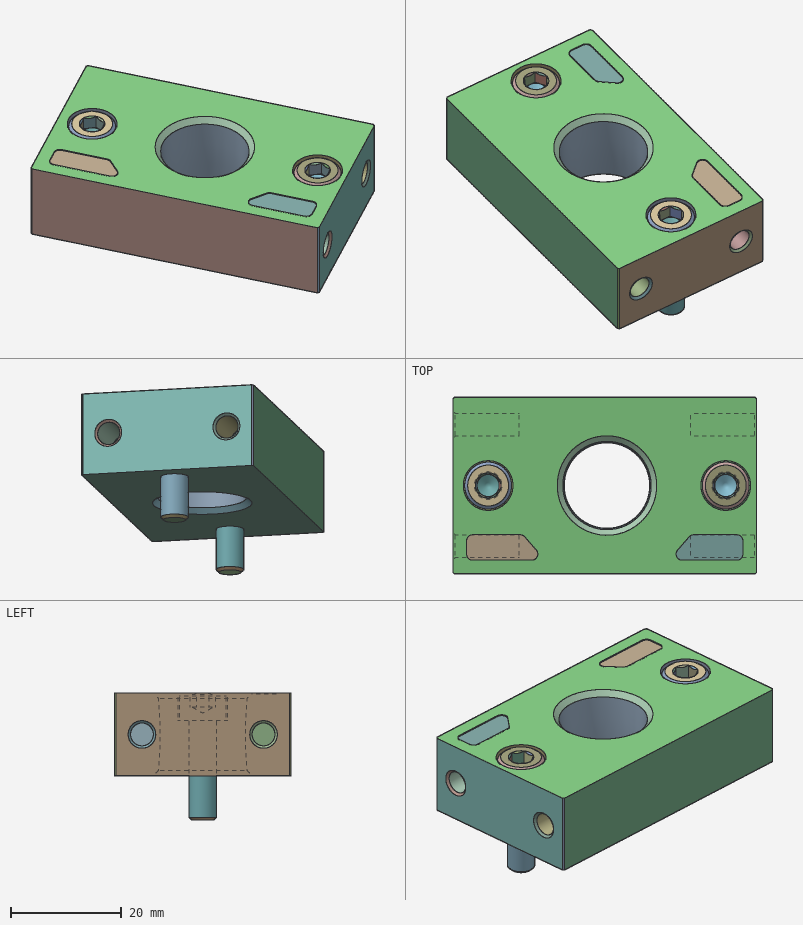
import cadquery as cq
import math

block_length = 55.0
block_width = 32.0
block_height = 15.0
bore_offset = 0.4
corner_chamfer = 0.3
block_middle_x = -bore_offset
block_left_x = block_middle_x - block_length / 2
block_right_x = block_middle_x + block_length / 2

mouth_diameter = 18.0
throat_diameter = 16.0
waist_diameter = 15.4
mouth_depth = (mouth_diameter - throat_diameter) / 2

screw_half_spacing = 21.5
shank_diameter = 5.0
head_diameter = 8.5
head_height = 5.0
head_chamfer = 0.55
tip_chamfer = 0.5
screw_projection = 8.0
socket_across_flats = 4.0
socket_depth = 2.5
socket_sides = 6
socket_half_angle = 180 / socket_sides
drill_point_slope = 30.0
socket_corner_diameter = socket_across_flats / math.cos(math.radians(socket_half_angle))
socket_mouth_depth = (socket_corner_diameter - socket_across_flats) / 2
drill_point_height = socket_across_flats / 2 * math.tan(math.radians(drill_point_slope))
counterbore_diameter = 9.0

end_hole_half_spacing = 11.0
end_hole_diameter = 4.13
end_hole_mouth_diameter = 5.0
end_hole_depth = 12.0
end_hole_chamfer = (end_hole_mouth_diameter - end_hole_diameter) / 2

label_edge_margin = 2.5
label_width = 4.6
label_depth = 0.2
label_inner_x = 11.2
label_slant_angle = 49.0
label_corner_radius = 1.1


def bore_cutter():
    """Revolved tool for the central bore."""
    mouth_radius = mouth_diameter / 2
    throat_radius = throat_diameter / 2
    return (
        cq.Workplane("XZ")
        .lineTo(mouth_radius, 0)
        .lineTo(throat_radius, mouth_depth)
        .threePointArc((waist_diameter / 2, block_height / 2), (throat_radius, block_height - mouth_depth))
        .lineTo(mouth_radius, block_height)
        .lineTo(0, block_height)
        .close()
        .revolve(360, (0, 0, 0), (0, 1, 0))
    )


def screw_hole_cutter(x):
    """Shank hole and counterbore for one screw."""
    seat_z = block_height - head_height
    shank_hole = cq.Workplane("XY").center(x, 0).circle(shank_diameter / 2).extrude(block_height)
    counterbore = (
        cq.Workplane("XY", origin=(x, 0, seat_z)).circle(counterbore_diameter / 2).extrude(head_height)
    )
    return shank_hole.union(counterbore)


def end_hole_cutter(face_x, inward, y):
    """Blind hole with a chamfered mouth, bored along X from an end face."""
    start = cq.Vector(face_x, y, block_height / 2)
    direction = cq.Vector(inward, 0, 0)
    hole = cq.Solid.makeCylinder(end_hole_diameter / 2, end_hole_depth, start, direction)
    mouth = cq.Solid.makeCone(
        end_hole_mouth_diameter / 2, end_hole_diameter / 2, end_hole_chamfer, start, direction
    )
    return hole.fuse(mouth)


def label_cutter(side, end_face_x):
    """Label pocket beside one end face; the end towards the bore is slanted."""
    outer_x = end_face_x - side * label_edge_margin
    slant_run = label_width / math.tan(math.radians(label_slant_angle))
    bottom_y = -block_width / 2 + label_edge_margin
    top_y = bottom_y + label_width
    tip_x = side * label_inner_x
    shoulder_x = tip_x + side * slant_run
    return (
        cq.Workplane("XY", origin=(0, 0, block_height - label_depth))
        .moveTo(tip_x, bottom_y)
        .lineTo(outer_x, bottom_y)
        .lineTo(outer_x, top_y)
        .lineTo(shoulder_x, top_y)
        .close()
        .extrude(label_depth)
        .edges("|Z")
        .fillet(label_corner_radius)
    )


def make_block():
    """Rectangular block with all its holes and pockets."""
    body = (
        cq.Workplane("XY")
        .center(block_middle_x, 0)
        .rect(block_length, block_width)
        .extrude(block_height)
        .edges("|Z")
        .chamfer(corner_chamfer)
        .cut(bore_cutter())
    )
    for side, end_face_x in ((-1, block_left_x), (1, block_right_x)):
        body = body.cut(screw_hole_cutter(side * screw_half_spacing))
        body = body.cut(label_cutter(side, end_face_x))
        for y in (-end_hole_half_spacing, end_hole_half_spacing):
            body = body.cut(cq.Workplane(end_hole_cutter(end_face_x, -side, y)))
    return body


def make_screw(x):
    """Socket head screw, head flush with the top of the block."""
    seat_z = block_height - head_height
    shank = (
        cq.Workplane("XY", origin=(x, 0, -screw_projection))
        .circle(shank_diameter / 2)
        .extrude(screw_projection + seat_z)
        .faces("<Z")
        .chamfer(tip_chamfer)
    )
    head = (
        cq.Workplane("XY", origin=(x, 0, seat_z))
        .circle(head_diameter / 2)
        .extrude(head_height)
        .faces(">Z")
        .chamfer(head_chamfer)
    )
    socket_floor_z = block_height - socket_depth
    socket = (
        cq.Workplane("XY", origin=(x, 0, socket_floor_z))
        .transformed(rotate=(0, 0, socket_half_angle))
        .polygon(socket_sides, socket_corner_diameter)
        .extrude(socket_depth)
    )
    socket_mouth = cq.Solid.makeCone(
        socket_corner_diameter / 2,
        socket_across_flats / 2,
        socket_mouth_depth,
        cq.Vector(x, 0, block_height),
        cq.Vector(0, 0, -1),
    )
    drill_point = cq.Solid.makeCone(
        socket_across_flats / 2,
        0,
        drill_point_height,
        cq.Vector(x, 0, socket_floor_z),
        cq.Vector(0, 0, -1),
    )
    screw = shank.union(head).cut(socket)
    return screw.cut(cq.Workplane(socket_mouth)).cut(cq.Workplane(drill_point))


block = make_block()
screws = [make_screw(side * screw_half_spacing) for side in (-1, 1)]
result = cq.Compound.makeCompound([block.val(), *[screw.val() for screw in screws]])